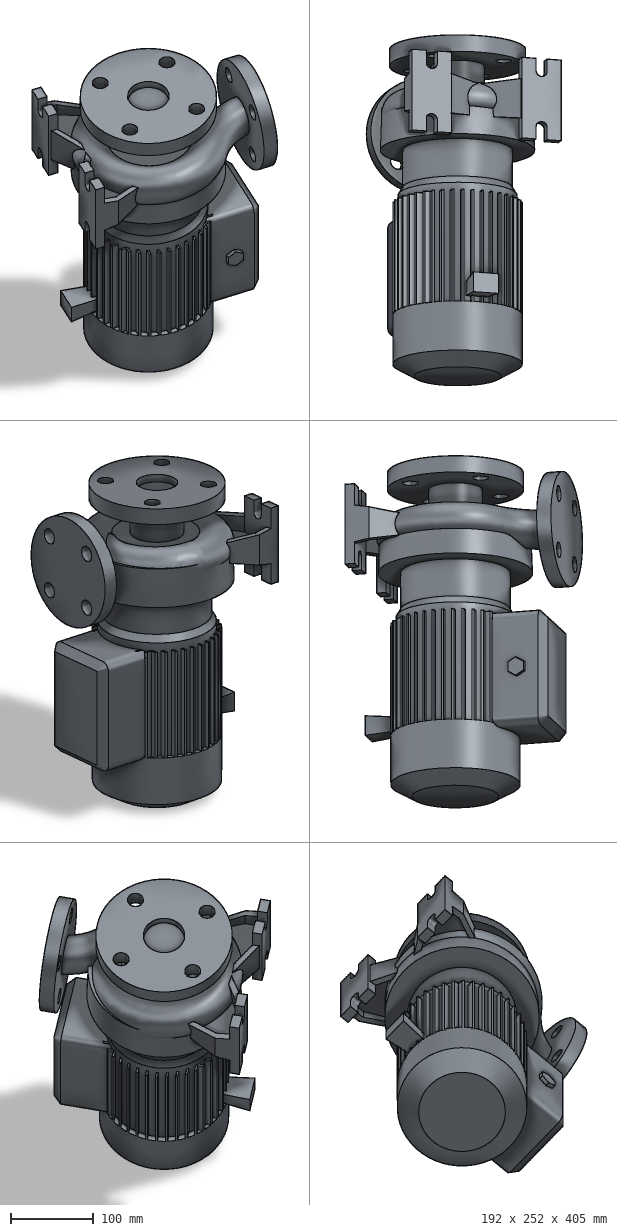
import cadquery as cq
import math


SUCTION_FACE_Z = 80.0
SUCTION_FLANGE_DIA = 165.0
SUCTION_FLANGE_THICK = 20.5
SUCTION_BOLT_CIRCLE = 125.0
SUCTION_BORE_DIA = 50.0
SUCTION_BORE_DEPTH = 10.0
NECK_DIA = 65.0
BOLT_HOLE_DIA = 19.0
BOLT_HOLES = 4

DISCHARGE_FACE_Y = 140.0
DISCHARGE_FLANGE_DIA = 140.0
DISCHARGE_FLANGE_THICK = 18.0
DISCHARGE_BOLT_CIRCLE = 100.0

TUBE_RADIUS = 23.75
FRONT_RING_RADIUS = 71.25
FRONT_RING_OFFSET_X = 2.0
SIDE_RING_RADIUS = FRONT_RING_RADIUS + FRONT_RING_OFFSET_X
TONGUE_END_TUBE_RADIUS = 19.5
TONGUE_END_RING_RADIUS = 65.0
TONGUE_END_ANGLE = 60.0
TONGUE_SECTIONS = 5
CASING_BOTTOM_RADIUS = 93.5
CASING_BOTTOM_Z = -45.0
CASING_TOP_Z = 5.0
CASING_DRAFT = 1.75
CORE_RADIUS = 62.0
CORE_TOP_Z = 15.0

ADAPTER_RADIUS = 66.5
ADAPTER_BOTTOM_Z = -91.5
MOTOR_CORE_RADIUS = 72.0
MOTOR_CONE_BOTTOM_Z = -100.5
MOTOR_RADIUS = 78.4
FIN_TOP_Z = -110.5
FIN_BOTTOM_Z = -249.0
FIN_THICK = 2.5
FIN_PITCH_ANGLE = 9.0
FINS_PER_HALF_SIDE = 5
FAN_COVER_CONE_Z = -310.0
MOTOR_BOTTOM_Z = -325.0
FAN_COVER_CONE_ANGLE = 60.0

BOX_WIDTH = 100.0
BOX_OUTER_Y = 128.0
BOX_INNER_Y = 45.0
BOX_TOP_Z = FIN_TOP_Z
BOX_BOTTOM_Z = -254.0
BOX_FILLET = 10.5
BOX_CHAMFER = 10.0

GLAND_SIDES = 6
GLAND_ACROSS_FLATS = 20.0
GLAND_LENGTH = 5.0
GLAND_Y = 91.4

BLOCK_WIDTH = 32.0
BLOCK_HEIGHT = 24.5
BLOCK_Z = -232.0
BLOCK_OUTER_Y = -109.0
BLOCK_INNER_Y = -65.0
BLOCK_DRAFT = 5.0

FOOT_FACE_Y = -112.0
FOOT_THICK = 12.0
FOOT_BACK_Y = FOOT_FACE_Y + FOOT_THICK
FOOT_INNER_X = 45.0
FOOT_OUTER_X = 95.0
FOOT_HEIGHT = 100.0
SLOT_WIDTH = 14.0
SLOT_DEPTH = 22.0
WEB_THICK = 7.5
WEB_HALF_HEIGHT = 23.0
WEB_TAPER = 10.0
OUTER_WEB_BEND_Y = -82.0
OUTER_WEB_END_Y = -35.0
OUTER_WEB_SLANT = 26.0
INNER_WEB_SLANT = 30.0
SHELF_THICK = 5.0


def tangent(degrees):
    return math.tan(math.radians(degrees))


def polar(radius, degrees):
    angle = math.radians(degrees)
    return radius * math.cos(angle), radius * math.sin(angle)


def flange(plane, diameter, thickness, bolt_circle):
    """Bolted disc grown from its outer face against the plane normal."""
    disc = cq.Workplane(plane).circle(diameter / 2).extrude(-thickness)
    holes = (
        cq.Workplane(plane)
        .polarArray(bolt_circle / 2, 180 / BOLT_HOLES, 360, BOLT_HOLES)
        .circle(BOLT_HOLE_DIA / 2)
        .extrude(-thickness)
    )
    return disc.cut(holes)


def suction_side():
    top = cq.Plane(origin=(0, 0, SUCTION_FACE_Z), xDir=(1, 0, 0), normal=(0, 0, 1))
    neck = (
        cq.Workplane("XY", origin=(0, 0, CORE_TOP_Z))
        .circle(NECK_DIA / 2)
        .extrude(SUCTION_FACE_Z - SUCTION_FLANGE_THICK - CORE_TOP_Z)
    )
    bore = cq.Workplane(top).circle(SUCTION_BORE_DIA / 2).extrude(-SUCTION_BORE_DEPTH)
    disc = flange(top, SUCTION_FLANGE_DIA, SUCTION_FLANGE_THICK, SUCTION_BOLT_CIRCLE)
    return disc.union(neck).cut(bore)


def discharge_flange():
    face = cq.Plane(origin=(0, DISCHARGE_FACE_Y, 0), xDir=(-1, 0, 0), normal=(0, 1, 0))
    return flange(face, DISCHARGE_FLANGE_DIA, DISCHARGE_FLANGE_THICK, DISCHARGE_BOLT_CIRCLE)


def volute_tube():
    """Tube from -X round the front to +X, then bending back to leave along +Y at X = 0."""
    bend_radius = (DISCHARGE_FACE_Y ** 2 - SIDE_RING_RADIUS ** 2) / (2 * SIDE_RING_RADIUS)
    side_angle = math.degrees(math.atan2(DISCHARGE_FACE_Y, bend_radius))
    bend_mid_x, bend_mid_y = polar(bend_radius, 180 + side_angle / 2)
    start_x = FRONT_RING_OFFSET_X - FRONT_RING_RADIUS
    path = (
        cq.Workplane("XY")
        .moveTo(start_x, 0)
        .threePointArc((FRONT_RING_OFFSET_X, -FRONT_RING_RADIUS), (SIDE_RING_RADIUS, 0))
        .threePointArc(polar(SIDE_RING_RADIUS, side_angle / 2), polar(SIDE_RING_RADIUS, side_angle))
        .threePointArc((bend_radius + bend_mid_x, DISCHARGE_FACE_Y + bend_mid_y), (0, DISCHARGE_FACE_Y))
    )
    return cq.Workplane("XZ", origin=(start_x, 0, 0)).circle(TUBE_RADIUS).sweep(path)


def volute_tongue():
    """Tapering tube that closes the ring from -X round the back into the discharge bend."""
    start_ring_radius = FRONT_RING_RADIUS - FRONT_RING_OFFSET_X
    sections = []
    for i in range(TONGUE_SECTIONS):
        share = i / (TONGUE_SECTIONS - 1)
        angle = 180 + share * (TONGUE_END_ANGLE - 180)
        ring_radius = start_ring_radius + share * (TONGUE_END_RING_RADIUS - start_ring_radius)
        tube_radius = TUBE_RADIUS + share * (TONGUE_END_TUBE_RADIUS - TUBE_RADIUS)
        centre = (*polar(ring_radius, angle), 0)
        outward = (*polar(1, angle), 0)
        along = (*polar(1, angle - 90), 0)
        plane = cq.Plane(origin=centre, xDir=outward, normal=along)
        sections.append(cq.Workplane(plane).circle(tube_radius).wires().val())
    return cq.Workplane(obj=cq.Solid.makeLoft(sections))


def casing():
    casing_top_radius = CASING_BOTTOM_RADIUS - (CASING_TOP_Z - CASING_BOTTOM_Z) * tangent(CASING_DRAFT)
    return (
        cq.Workplane("XZ")
        .moveTo(0, CASING_BOTTOM_Z)
        .lineTo(CASING_BOTTOM_RADIUS, CASING_BOTTOM_Z)
        .lineTo(casing_top_radius, CASING_TOP_Z)
        .lineTo(CORE_RADIUS, CASING_TOP_Z)
        .lineTo(CORE_RADIUS, CORE_TOP_Z)
        .lineTo(0, CORE_TOP_Z)
        .close()
        .revolve(360, (0, 0, 0), (0, 1, 0))
    )


def motor_body():
    cone_height = FAN_COVER_CONE_Z - MOTOR_BOTTOM_Z
    bottom_radius = MOTOR_RADIUS - cone_height * tangent(FAN_COVER_CONE_ANGLE)
    return (
        cq.Workplane("XZ")
        .moveTo(0, CASING_BOTTOM_Z)
        .lineTo(ADAPTER_RADIUS, CASING_BOTTOM_Z)
        .lineTo(ADAPTER_RADIUS, ADAPTER_BOTTOM_Z)
        .lineTo(MOTOR_CORE_RADIUS, MOTOR_CONE_BOTTOM_Z)
        .lineTo(MOTOR_CORE_RADIUS, FIN_BOTTOM_Z)
        .lineTo(MOTOR_RADIUS, FIN_BOTTOM_Z)
        .lineTo(MOTOR_RADIUS, FAN_COVER_CONE_Z)
        .lineTo(bottom_radius, MOTOR_BOTTOM_Z)
        .lineTo(0, MOTOR_BOTTOM_Z)
        .close()
        .revolve(360, (0, 0, 0), (0, 1, 0))
    )


def cooling_fins():
    """Four banks of parallel fins, one facing each side, trimmed to the motor radius."""
    fin_height = FIN_TOP_Z - FIN_BOTTOM_Z
    fin_plan = cq.Workplane("XY", origin=(0, 0, FIN_BOTTOM_Z))
    plates = cq.Workplane("XY")
    for i in range(FINS_PER_HALF_SIDE):
        offset = MOTOR_RADIUS * math.sin(math.radians((i + 0.5) * FIN_PITCH_ANGLE))
        length = 2 * MOTOR_RADIUS
        for side in (-offset, offset):
            plates = plates.union(fin_plan.center(side, 0).rect(FIN_THICK, length).extrude(fin_height))
            plates = plates.union(fin_plan.center(0, side).rect(length, FIN_THICK).extrude(fin_height))
    return plates.intersect(fin_plan.circle(MOTOR_RADIUS).extrude(fin_height))


def terminal_box():
    height = BOX_TOP_Z - BOX_BOTTOM_Z
    centre = (0, (BOX_INNER_Y + BOX_OUTER_Y) / 2, (BOX_TOP_Z + BOX_BOTTOM_Z) / 2)
    return (
        cq.Workplane("XY")
        .box(BOX_WIDTH, BOX_OUTER_Y - BOX_INNER_Y, height)
        .edges("|Y")
        .fillet(BOX_FILLET)
        .faces(">Y")
        .chamfer(BOX_CHAMFER)
        .translate(centre)
    )


def cable_gland():
    """Hexagonal boss halfway up the box, with two corners pointing up and down."""
    half_side_angle = 180 / GLAND_SIDES
    across_corners = GLAND_ACROSS_FLATS / math.cos(math.radians(half_side_angle))
    return (
        cq.Workplane("YZ", origin=(BOX_WIDTH / 2, GLAND_Y, (BOX_TOP_Z + BOX_BOTTOM_Z) / 2))
        .transformed(rotate=(0, 0, half_side_angle))
        .polygon(GLAND_SIDES, across_corners)
        .extrude(GLAND_LENGTH)
    )


def support_block():
    return (
        cq.Workplane("XZ", origin=(0, BLOCK_OUTER_Y, BLOCK_Z))
        .rect(BLOCK_WIDTH, BLOCK_HEIGHT)
        .extrude(BLOCK_OUTER_Y - BLOCK_INNER_Y, taper=BLOCK_DRAFT)
    )


def foot_plate():
    width = FOOT_OUTER_X - FOOT_INNER_X
    plate = (
        cq.Workplane("XZ", origin=((FOOT_INNER_X + FOOT_OUTER_X) / 2, FOOT_BACK_Y, 0))
        .rect(width, FOOT_HEIGHT)
        .extrude(FOOT_THICK)
    )
    slots = (
        plate.faces("<Y")
        .workplane(centerOption="CenterOfBoundBox")
        .pushPoints([(0, FOOT_HEIGHT / 2), (0, -FOOT_HEIGHT / 2)])
        .slot2D(2 * SLOT_DEPTH, SLOT_WIDTH, 90)
        .extrude(-FOOT_THICK, combine=False)
    )
    return plate.cut(slots)


def foot_webs():
    """Bent outer web, slanted inner web and joining shelf of the +X foot, tapering to the casing."""
    slant_run = (OUTER_WEB_END_Y - OUTER_WEB_BEND_Y) * tangent(OUTER_WEB_SLANT)
    outer_inside_x = FOOT_OUTER_X - WEB_THICK
    outer_web = (
        cq.Workplane("XY")
        .polyline([
            (FOOT_OUTER_X, FOOT_BACK_Y),
            (FOOT_OUTER_X, OUTER_WEB_BEND_Y),
            (FOOT_OUTER_X - slant_run, OUTER_WEB_END_Y),
            (outer_inside_x - slant_run, OUTER_WEB_END_Y),
            (outer_inside_x, OUTER_WEB_BEND_Y),
            (outer_inside_x, FOOT_BACK_Y),
        ])
        .close()
        .extrude(FOOT_HEIGHT / 2, both=True)
    )
    inner_rise = FOOT_INNER_X * tangent(INNER_WEB_SLANT)
    inner_depth = WEB_THICK / math.cos(math.radians(INNER_WEB_SLANT))
    inner_web = (
        cq.Workplane("XY")
        .polyline([
            (FOOT_INNER_X, FOOT_BACK_Y),
            (0, FOOT_BACK_Y + inner_rise),
            (0, FOOT_BACK_Y + inner_rise - inner_depth),
            (FOOT_INNER_X, FOOT_BACK_Y - inner_depth),
        ])
        .close()
        .extrude(FOOT_HEIGHT / 2, both=True)
    )
    shelf = (
        cq.Workplane("XY")
        .polyline([
            (FOOT_INNER_X, FOOT_BACK_Y),
            (outer_inside_x, FOOT_BACK_Y),
            (outer_inside_x, OUTER_WEB_BEND_Y),
            (outer_inside_x - slant_run, OUTER_WEB_END_Y),
            (0, FOOT_BACK_Y + inner_rise),
        ])
        .close()
        .extrude(SHELF_THICK / 2, both=True)
    )
    face_half_height = WEB_HALF_HEIGHT + FOOT_THICK * tangent(WEB_TAPER)
    end_half_height = WEB_HALF_HEIGHT - (OUTER_WEB_END_Y - FOOT_BACK_Y) * tangent(WEB_TAPER)
    side_outline = (
        cq.Workplane("YZ")
        .polyline([
            (FOOT_FACE_Y, face_half_height),
            (OUTER_WEB_END_Y, end_half_height),
            (OUTER_WEB_END_Y, -end_half_height),
            (FOOT_FACE_Y, -face_half_height),
        ])
        .close()
        .extrude(FOOT_OUTER_X)
    )
    return outer_web.union(inner_web).union(shelf).intersect(side_outline)


def feet():
    foot = foot_plate().union(foot_webs())
    return foot.union(foot.mirror("YZ"))


result = (
    casing()
    .union(volute_tube())
    .union(volute_tongue())
    .union(suction_side())
    .union(discharge_flange())
    .union(motor_body())
    .union(cooling_fins())
    .union(terminal_box())
    .union(cable_gland())
    .union(support_block())
    .union(feet())
)